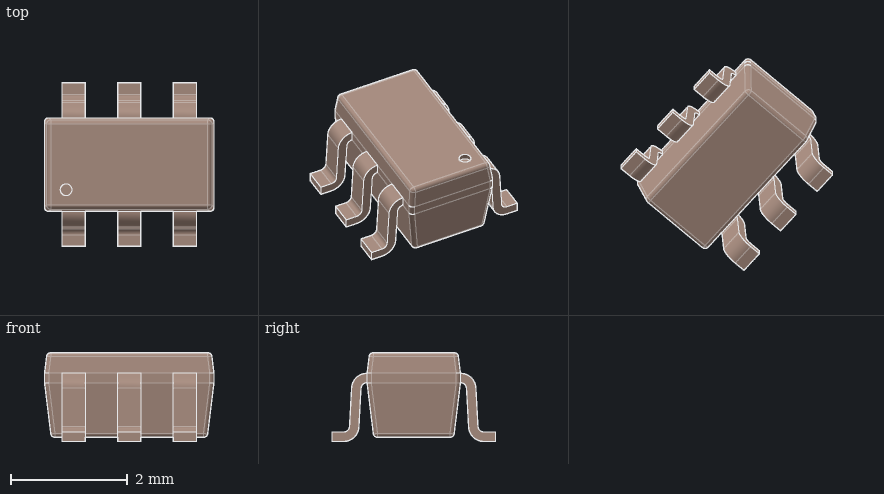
import cadquery as cq
import math

body_length = 2.9
body_width = 1.6
body_bottom = 0.072
body_top = 1.522
draft_angle = 7.0
edge_radius = 0.075

marker_diameter = 0.2
marker_depth = 0.1
marker_inset = 0.37

lead_span = 2.8
lead_width = 0.4
lead_thickness = 0.165
lead_pitch = 0.95
leads_per_side = 3
lead_top = 1.17
foot_length = 0.2
inner_bend_radius = 0.1
outer_bend_radius = inner_bend_radius + lead_thickness

band_top = lead_top
band_bottom = lead_top - lead_thickness


def tapered_block(start_z, height):
    """Block on the band outline that narrows away from it; negative height goes down."""
    return (
        cq.Workplane("XY", origin=(0, 0, start_z))
        .rect(body_length, body_width)
        .extrude(height, taper=draft_angle)
    )


def make_body():
    band = (
        cq.Workplane("XY", origin=(0, 0, band_bottom))
        .rect(body_length, body_width)
        .extrude(band_top - band_bottom)
    )
    upper = tapered_block(band_top, body_top - band_top)
    lower = tapered_block(band_bottom, body_bottom - band_bottom)
    block = band.union(upper).union(lower)

    corners_and_rims = block.edges("(not #Z) or >Z or <Z")
    rounded = corners_and_rims.fillet(edge_radius)

    marker_x = -body_length / 2 + marker_inset
    marker_y = -body_width / 2 + marker_inset
    marker = (
        cq.Workplane("XY", origin=(marker_x, marker_y, body_top - marker_depth))
        .circle(marker_diameter / 2)
        .extrude(marker_depth)
    )
    return rounded.cut(marker)


def make_lead(x, side):
    """One lead centred on x, on the +Y side (side = 1) or the -Y side (side = -1)."""
    face_y = body_width / 2
    tip_y = lead_span / 2

    shoulder_y = face_y
    shoulder_z = lead_top - outer_bend_radius
    ankle_y = tip_y - foot_length
    ankle_z = outer_bend_radius

    center_distance = math.hypot(ankle_y - shoulder_y, shoulder_z - ankle_z)
    center_angle = math.atan2(shoulder_z - ankle_z, ankle_y - shoulder_y)
    radius_sum = outer_bend_radius + inner_bend_radius
    lean = math.acos(radius_sum / center_distance) - center_angle
    middle = (lean + math.pi / 2) / 2

    def on_shoulder(radius, angle):
        return (shoulder_y + radius * math.cos(angle), shoulder_z + radius * math.sin(angle))

    def on_ankle(radius, angle):
        return (ankle_y - radius * math.cos(angle), ankle_z - radius * math.sin(angle))

    profile = (
        cq.Workplane("YZ", origin=(x - lead_width / 2, 0, 0))
        .moveTo(face_y, lead_top)
        .threePointArc(on_shoulder(outer_bend_radius, middle), on_shoulder(outer_bend_radius, lean))
        .lineTo(*on_ankle(inner_bend_radius, lean))
        .threePointArc(on_ankle(inner_bend_radius, middle), (ankle_y, lead_thickness))
        .lineTo(tip_y, lead_thickness)
        .lineTo(tip_y, 0)
        .lineTo(ankle_y, 0)
        .threePointArc(on_ankle(outer_bend_radius, middle), on_ankle(outer_bend_radius, lean))
        .lineTo(*on_shoulder(inner_bend_radius, lean))
        .threePointArc(on_shoulder(inner_bend_radius, middle), (face_y, band_bottom))
        .close()
    )
    lead = profile.extrude(lead_width)
    if side < 0:
        lead = lead.mirror("XZ")
    return lead


body = make_body()

leads = []
for side in (-1, 1):
    for index in range(leads_per_side):
        lead_x = (index - (leads_per_side - 1) / 2) * lead_pitch
        leads.append(make_lead(lead_x, side))

result = cq.Compound.makeCompound([body.val(), *[lead.val() for lead in leads]])